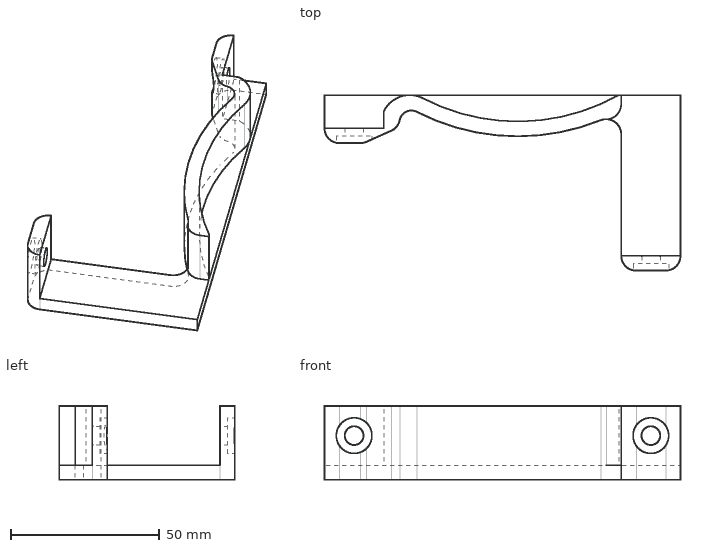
import cadquery as cq
import math

length = 120.0
depth = 59.2
height = 25.0

thickness = 5.0
corner_radius = thickness
arm_width = 20.0
left_depth = 16.2
arm_left = length - arm_width

arc_x = 65.2
arc_front_depth = 13.9
arc_outer_radius = 74.4
arc_inner_radius = arc_outer_radius - thickness
arc_y = arc_outer_radius - arc_front_depth

hollow_radius = 4.0
hollow_x = 29.3
bend_radius = 9.7
shoulder_radius = corner_radius
shoulder_y = -7.5
foot_round_x = 12.1

hole_diameter = 6.2
counterbore_diameter = 12.0
counterbore_depth = thickness / 2
hole_z = height - arm_width / 2
hole_inset = arm_width / 2


def tangent_center_y(x, radius, wide_radius):
    """Y of a small circle at x that touches a wide arc from outside, on its front side."""
    return arc_y - math.sqrt((wide_radius + radius) ** 2 - (arc_x - x) ** 2)


def between(start, end, fraction):
    """Point a given fraction of the way from start to end."""
    return tuple(a + (b - a) * fraction for a, b in zip(start, end))


def arc_mid(center, radius, start, end):
    """Middle point of the shorter circular arc from start to end."""
    dx = (start[0] + end[0]) / 2 - center[0]
    dy = (start[1] + end[1]) / 2 - center[1]
    scale = radius / math.hypot(dx, dy)
    return (center[0] + dx * scale, center[1] + dy * scale)


def add_arc(path, center, radius, start, end):
    return path.threePointArc(arc_mid(center, radius, start, end), end)


arc_center = (arc_x, arc_y)
foot_corner = (corner_radius, corner_radius - left_depth)
foot_round = (foot_round_x, corner_radius - left_depth)
hollow = (hollow_x, tangent_center_y(hollow_x, hollow_radius, arc_outer_radius))
shoulder_gap = math.sqrt((hollow_radius + shoulder_radius) ** 2 - (shoulder_y - hollow[1]) ** 2)
shoulder = (hollow_x - shoulder_gap, shoulder_y)
root_x = arm_left - corner_radius
root = (root_x, tangent_center_y(root_x, corner_radius, arc_outer_radius))

slope_angle = math.atan2(shoulder[1] - foot_round[1], shoulder[0] - foot_round[0])
slope_offset = (corner_radius * math.sin(slope_angle), -corner_radius * math.cos(slope_angle))
slope_start = (foot_round[0] + slope_offset[0], foot_round[1] + slope_offset[1])
slope_end = (shoulder[0] + slope_offset[0], shoulder[1] + slope_offset[1])
hollow_start = between(shoulder, hollow, shoulder_radius / (shoulder_radius + hollow_radius))
hollow_end = between(arc_center, hollow, arc_outer_radius / (arc_outer_radius + hollow_radius))
root_start = between(arc_center, root, arc_outer_radius / (arc_outer_radius + corner_radius))
foot_corner_start = (0, foot_corner[1])
root_tip = (root_x, root[1] + corner_radius)

inner_end = (arc_x + math.sqrt(arc_inner_radius ** 2 - arc_y ** 2), 0)
bend_gap = math.sqrt((arc_inner_radius + bend_radius) ** 2 - (arc_y + bend_radius) ** 2)
bend = (arc_x - bend_gap, -bend_radius)
bend_start = between(arc_center, bend, arc_inner_radius / (arc_inner_radius + bend_radius))
bend_end = (arm_width, bend[1] + math.sqrt(bend_radius ** 2 - (bend[0] - arm_width) ** 2))


def front_edge():
    """Left end and curved front edge, up to the point where the wall meets the arm root."""
    path = cq.Workplane("XY").moveTo(*foot_corner_start)
    path = add_arc(path, foot_corner, corner_radius, foot_corner_start, (corner_radius, -left_depth))
    path = path.lineTo(foot_round[0], -left_depth)
    path = add_arc(path, foot_round, corner_radius, (foot_round[0], -left_depth), slope_start)
    path = path.lineTo(*slope_end)
    path = add_arc(path, shoulder, shoulder_radius, slope_end, hollow_start)
    path = add_arc(path, hollow, hollow_radius, hollow_start, hollow_end)
    path = add_arc(path, arc_center, arc_outer_radius, hollow_end, root_start)
    return add_arc(path, root, corner_radius, root_start, root_tip)


def floor_plate():
    path = front_edge()
    path = add_arc(path, root, corner_radius, root_tip, (arm_left, root[1]))
    path = path.lineTo(arm_left, -depth).lineTo(length, -depth)
    plate = path.lineTo(length, 0).lineTo(0, 0).close().extrude(thickness)
    return plate.edges("|Z and <Y").fillet(corner_radius)


def arm_wall():
    """Upright wall at the front of the arm, with rounded front corners."""
    post = cq.Workplane("XY").box(arm_width, 2 * thickness, height, centered=False)
    post = post.edges("|Z and <Y").fillet(corner_radius)
    wall = post.cut(cq.Workplane("XY").box(arm_width, thickness, height, centered=False)
                    .translate((0, thickness, 0)))
    return wall.translate((arm_left, -depth, 0))


def curved_wall():
    """Full-height left foot, S-bend and curved wall, rounded where it ends beside the arm."""
    end_round = (root_x, root_tip[1] + corner_radius)
    path = front_edge()
    path = add_arc(path, end_round, corner_radius, root_tip, (arm_left, end_round[1]))
    path = path.lineTo(arm_left, 0).lineTo(*inner_end)
    path = add_arc(path, arc_center, arc_inner_radius, inner_end, bend_start)
    path = add_arc(path, bend, bend_radius, bend_start, bend_end)
    return path.lineTo(arm_width, foot_corner[1]).close().extrude(height)


def screw_hole(x, front_y):
    """Through hole along Y with a counterbore sunk into the front face."""
    face = cq.Workplane("XZ", origin=(x, front_y, hole_z))
    bore = face.circle(hole_diameter / 2).extrude(-thickness)
    return bore.union(face.circle(counterbore_diameter / 2).extrude(-counterbore_depth))


result = floor_plate().union(arm_wall()).union(curved_wall())
result = result.cut(screw_hole(hole_inset, -left_depth))
result = result.cut(screw_hole(length - hole_inset, -depth))